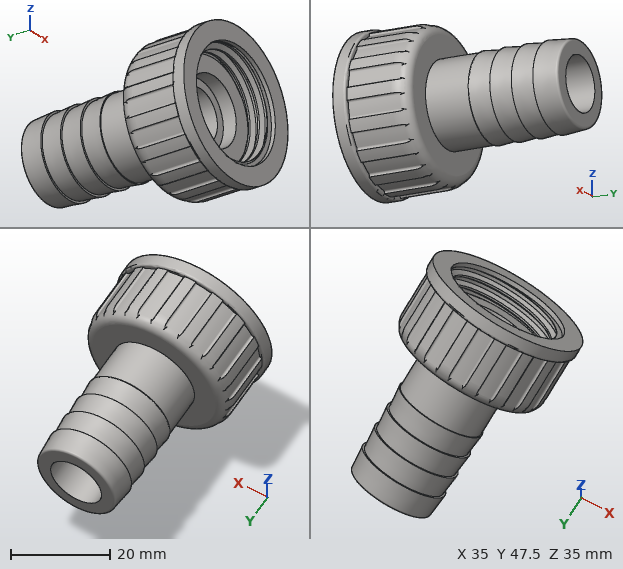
import cadquery as cq
import math


nut_length = 17.0
nut_radius = 16.5
nut_back_round = 2.0
collar_radius = 35.0 / 2
collar_length = 3.0
collar_round = 1.0 / 2
entry_radius = 26.45 / 2
entry_depth = 1.0
nut_bore_radius = 24.0 / 2
nut_wall = 4.0

rib_count = 16
rib_radius = 17.0
rib_width = 2.75
rib_foot_round = 1.0 / 2
rib_tip = 16.2
rib_inner_radius = 14.25
rib_straight_end = 13.4
rib_end_round = 4.65

thread_pitch = 2.35
thread_turns = 4
thread_root_gap = 0.025
thread_root_radius = entry_radius - thread_root_gap
thread_root_width = 0.75
thread_mouth_width = 1.9
thread_overcut = 0.25

seal_radius = 23.8 / 2
seal_hole_radius = 16.0 / 2
seal_front = 5.95
seal_thickness = 3.3

tail_end = 47.5
tail_bore_radius = 12.0 / 2
tail_radius = 19.0 / 2
tail_tip_round = 1.0 / 2
barb_count = 4
barb_pitch = 5.0
barb_root_radius = 18.52 / 2
barb_crest_radius = 19.5 / 2
first_barb_start = 27.05

flange_front = seal_front + seal_thickness
flange_back = nut_length - nut_wall


def cylinder(radius, start, end):
    """Solid cylinder on the Y axis between two Y positions."""
    return cq.Workplane("XZ", origin=(0, start, 0)).circle(radius).extrude(start - end)


def rib_envelope():
    """Round solid that bounds all the ribs: straight sides, then rounded inwards at the back."""
    arc_centre_radius = rib_radius - rib_end_round
    end_drop = nut_length - rib_straight_end
    back_radius = arc_centre_radius + math.sqrt(rib_end_round**2 - end_drop**2)
    mid_angle = math.asin(end_drop / rib_end_round) / 2
    mid_point = (
        arc_centre_radius + rib_end_round * math.cos(mid_angle),
        rib_straight_end + rib_end_round * math.sin(mid_angle),
    )
    return (
        cq.Workplane("XY")
        .moveTo(0, 0)
        .lineTo(rib_radius, 0)
        .lineTo(rib_radius, rib_straight_end)
        .threePointArc(mid_point, (back_radius, nut_length))
        .lineTo(0, nut_length)
        .close()
        .revolve(360, (0, 0, 0), (0, 1, 0))
    )


def rib_section_shape():
    """Bar along Y with the rib's cross-section: a flat top and hollow-rounded feet."""
    half_top = rib_width / 2
    half_foot = half_top + rib_foot_round
    foot_level = math.sqrt(nut_radius**2 - half_foot**2)
    hollow_top = foot_level + rib_foot_round
    arc_offset = rib_foot_round * (1 - math.sqrt(0.5))
    return (
        cq.Workplane("XZ")
        .moveTo(rib_inner_radius, -half_foot)
        .lineTo(foot_level, -half_foot)
        .threePointArc((foot_level + arc_offset, -half_top - arc_offset), (hollow_top, -half_top))
        .lineTo(rib_radius, -half_top)
        .lineTo(rib_radius, half_top)
        .lineTo(hollow_top, half_top)
        .threePointArc((foot_level + arc_offset, half_top + arc_offset), (foot_level, half_foot))
        .lineTo(rib_inner_radius, half_foot)
        .close()
        .extrude(-nut_length)
    )


def rib_plan_shape():
    """Block with the rib's outline seen along its radius: the feet run out towards the back."""
    half_top = rib_width / 2
    half_foot = half_top + rib_foot_round
    return (
        cq.Workplane("YZ", origin=(rib_inner_radius, 0, 0))
        .polyline([
            (0, -half_foot),
            (nut_length - nut_back_round, -half_foot),
            (rib_tip, -half_top),
            (rib_tip, half_top),
            (nut_length - nut_back_round, half_foot),
            (0, half_foot),
        ])
        .close()
        .extrude(rib_radius)
    )


def make_rib():
    """Grip rib on the +X side of the nut."""
    return rib_envelope().intersect(rib_section_shape()).intersect(rib_plan_shape())


def make_thread_groove():
    """Helical groove that starts in front of the nut and runs back along Y."""
    flank_slope = (thread_mouth_width - thread_root_width) / 2 / (thread_root_radius - nut_bore_radius)
    inner_radius = nut_bore_radius - thread_overcut
    inner_half_width = thread_mouth_width / 2 + thread_overcut * flank_slope
    root_half_width = thread_root_width / 2
    helix = cq.Wire.makeHelix(thread_pitch, thread_pitch * thread_turns, nut_bore_radius)
    groove = (
        cq.Workplane("XZ")
        .polyline([
            (inner_radius, -inner_half_width),
            (thread_root_radius, -root_half_width),
            (thread_root_radius, root_half_width),
            (inner_radius, inner_half_width),
        ])
        .close()
        .sweep(cq.Workplane(obj=helix), isFrenet=True)
    )
    groove = groove.rotate((0, 0, 0), (0, 0, 1), 180).rotate((0, 0, 0), (1, 0, 0), -90)
    return groove.translate((0, entry_depth - thread_pitch, 0))


def make_nut():
    nut = cylinder(nut_radius, 0, nut_length).faces(">Y").edges().fillet(nut_back_round)
    rib = make_rib()
    for index in range(rib_count):
        nut = nut.union(rib.rotate((0, 0, 0), (0, 1, 0), index * 360 / rib_count))
    collar = cylinder(collar_radius, 0, collar_length).faces(">Y").edges().fillet(collar_round)
    nut = nut.union(collar)
    nut = nut.cut(cylinder(nut_bore_radius, 0, flange_back))
    nut = nut.cut(cylinder(entry_radius, 0, entry_depth))
    nut = nut.cut(cylinder(tail_radius, flange_back, nut_length))
    return nut.cut(make_thread_groove())


def make_seal():
    return cylinder(seal_radius, seal_front, flange_front).cut(
        cylinder(seal_hole_radius, seal_front, flange_front)
    )


def make_hose_tail():
    outline = (
        cq.Workplane("XY")
        .moveTo(tail_bore_radius, flange_front)
        .lineTo(seal_radius, flange_front)
        .lineTo(seal_radius, flange_back)
        .lineTo(tail_radius, flange_back)
        .lineTo(tail_radius, first_barb_start)
    )
    for index in range(barb_count):
        barb_start = first_barb_start + index * barb_pitch
        is_last = index == barb_count - 1
        barb_end = tail_end if is_last else barb_start + barb_pitch
        outline = outline.lineTo(barb_crest_radius, barb_start).lineTo(barb_root_radius, barb_end)
    tail = outline.lineTo(tail_bore_radius, tail_end).close().revolve(360, (0, 0, 0), (0, 1, 0))
    tip_edge = cq.selectors.RadiusNthSelector(-1)
    return tail.faces(">Y").edges(tip_edge).fillet(tail_tip_round)


nut = make_nut()
seal = make_seal()
hose_tail = make_hose_tail()

result = cq.Compound.makeCompound([nut.val(), seal.val(), hose_tail.val()])